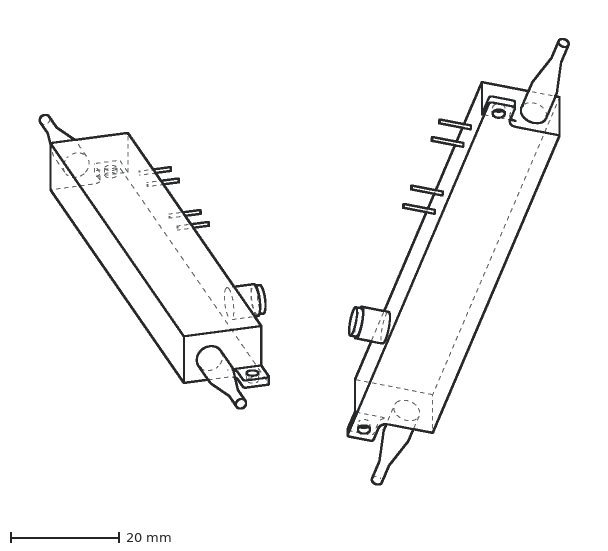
import cadquery as cq

body_length = 85.0
body_width = 15.0
body_height = 9.6

boot_length = 7.0
boot_diameter = 5.0
cone_length = 8.0
tip_length = 5.0
tip_diameter = 2.0
boot_y = 5.0
boot_z = 4.4

tab_length = 5.2
tab_width = 5.0
tab_thickness = 1.5
tab_corner_radius = 0.5
tab_root_radius = 1.5
tab_hole_diameter = 2.2
tab_hole_from_body = 2.6
tab_hole_from_back = tab_width / 2

pin_diameter = 0.8
pin_length = 6.0
pin_offsets = (7.5, 12.5, 26.4, 31.6)
pin_z = body_height / 2

connector_diameter = 6.0
connector_length = 6.2
connector_nose_diameter = 5.4
connector_nose_length = 1.1
connector_from_right_end = 20.5
connector_z = 4.6

body_end = body_length / 2


def make_body():
    return cq.Workplane("XY").box(body_length, body_width, body_height, centered=(True, False, False))


def make_boot():
    """Right-hand boot: a cylinder, a cone and a thin tip revolved about X."""
    boot_radius = boot_diameter / 2
    tip_radius = tip_diameter / 2
    cone_start = body_end + boot_length
    tip_start = cone_start + cone_length
    tip_end = tip_start + tip_length
    return (
        cq.Workplane("XY")
        .moveTo(body_end, 0)
        .lineTo(body_end, boot_radius)
        .lineTo(cone_start, boot_radius)
        .lineTo(tip_start, tip_radius)
        .lineTo(tip_end, tip_radius)
        .lineTo(tip_end, 0)
        .close()
        .revolve(360, (0, 0, 0), (1, 0, 0))
        .translate((0, boot_y, boot_z))
    )


def make_tab():
    """Right-hand tab with rounded outer corners, a root fillet and a screw hole."""
    tab_end = body_end + tab_length
    tab_front = body_width - tab_width
    plate = (
        cq.Workplane("XY")
        .moveTo(body_end, body_width)
        .lineTo(tab_end, body_width)
        .lineTo(tab_end, tab_front)
        .lineTo(body_end + tab_root_radius, tab_front)
        .radiusArc((body_end, tab_front - tab_root_radius), -tab_root_radius)
        .close()
        .extrude(tab_thickness)
        .edges("|Z and >X")
        .fillet(tab_corner_radius)
    )
    hole = (
        cq.Workplane("XY")
        .center(body_end + tab_hole_from_body, body_width - tab_hole_from_back)
        .circle(tab_hole_diameter / 2)
        .extrude(tab_thickness)
    )
    return plate.cut(hole)


def make_back_cylinder(x, z, diameter, length):
    """Cylinder standing out of the back face along +Y."""
    axis = cq.Vector(0, 1, 0)
    return cq.Workplane(cq.Solid.makeCylinder(diameter / 2, length, cq.Vector(x, body_width, z), axis))


def make_connector():
    x = body_end - connector_from_right_end
    barrel_length = connector_length - connector_nose_length
    barrel = make_back_cylinder(x, connector_z, connector_diameter, barrel_length)
    nose = make_back_cylinder(x, connector_z, connector_nose_diameter, connector_length)
    return barrel.union(nose)


result = make_body()

for end_feature in (make_boot(), make_tab()):
    result = result.union(end_feature).union(end_feature.mirror("YZ"))

for offset in pin_offsets:
    result = result.union(make_back_cylinder(offset - body_end, pin_z, pin_diameter, pin_length))

result = result.union(make_connector())